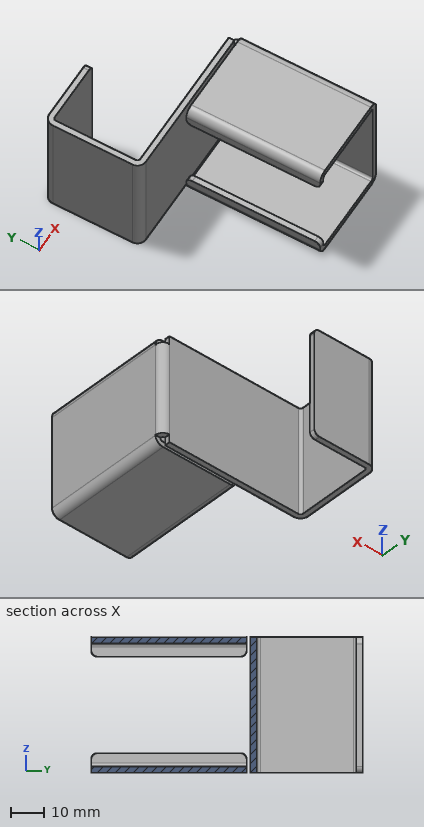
import cadquery as cq

total_x = 58.0
total_y = 82.0
height = 41.0
sheet = 2.0
inner_radius = 1.0
hook_leg_x = 25.0
channel_x = 33.0
channel_y = 47.0
lip_depth = 6.0
corner_radius = 2.0

outer_radius = inner_radius + sheet
hook_y_min = channel_y + inner_radius
wall_end_x = total_x - outer_radius
channel_left_x = total_x - channel_x


def block(x_min, x_max, y_min, y_max, z_min, z_max):
    """Axis-aligned box given by its limits."""
    return cq.Workplane("XY").box(
        x_max - x_min, y_max - y_min, z_max - z_min, centered=False
    ).translate((x_min, y_min, z_min))


def make_hook():
    """Full-height U of sheet, open toward +X: free leg, back and shared wall."""
    outside = block(0, wall_end_x, hook_y_min, total_y, 0, height)
    outside = outside.edges("|Z and <X").fillet(outer_radius)
    inside = block(sheet, wall_end_x, hook_y_min + sheet, total_y - sheet, 0, height)
    inside = inside.edges("|Z and <X").fillet(inner_radius)
    beyond_leg = block(hook_leg_x, wall_end_x, hook_y_min + sheet, total_y, 0, height)
    hook = outside.cut(inside).cut(beyond_leg)
    leg_tip = cq.selectors.BoxSelector(
        (hook_leg_x - sheet, total_y - 2 * sheet, -sheet),
        (hook_leg_x + sheet, total_y + sheet, height + sheet),
    )
    return hook.edges(leg_tip).edges("|Y").fillet(corner_radius)


def make_channel():
    """C-channel running along Y, open toward -X between its two inward lips."""
    outside = block(channel_left_x, total_x, 0, channel_y, 0, height)
    outside = outside.edges("|Y").fillet(outer_radius)
    inside = block(
        channel_left_x + sheet, total_x - sheet, 0, channel_y, sheet, height - sheet
    )
    inside = inside.edges("|Y").fillet(inner_radius)
    opening = block(
        channel_left_x, channel_left_x + sheet, 0, channel_y, lip_depth, height - lip_depth
    )
    channel = outside.cut(inside).cut(opening)
    lip_corners = cq.selectors.BoxSelector(
        (channel_left_x - sheet, -sheet, lip_depth - sheet / 2),
        (channel_left_x + 2 * sheet, channel_y + sheet, height - lip_depth + sheet / 2),
    )
    return channel.edges(lip_corners).edges("|X").fillet(corner_radius)


def make_joining_bend():
    """Quarter bend from the shared wall into the channel web, clear of the flanges."""
    return (
        cq.Workplane("XY", origin=(wall_end_x, channel_y, outer_radius))
        .moveTo(inner_radius, 0)
        .lineTo(outer_radius, 0)
        .radiusArc((0, outer_radius), -outer_radius)
        .lineTo(0, inner_radius)
        .radiusArc((inner_radius, 0), inner_radius)
        .close()
        .extrude(height - 2 * outer_radius)
    )


result = make_hook().union(make_joining_bend()).union(make_channel())